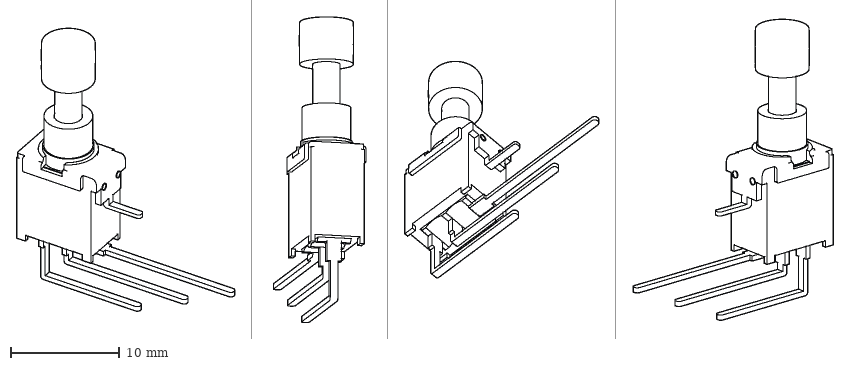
import cadquery as cq
import math


total_height = 26.8
cap_end_radius = 2.5
cap_middle_radius = 2.52
cap_height = 4.0
cap_edge_radius = 0.1
stem_diameter = 2.55

bore_diameter = 2.63
bushing_diameter = 4.53
bushing_top = 18.7
collar_diameter = 4.77
collar_top = 15.48

housing_length = 8.1
housing_depth = 5.1
housing_top = 14.12
housing_bottom = 5.87
foot_length = 0.96
foot_depth = 0.4
foot_height = 0.65

plate_thickness = 0.5
plate_corner_radius = 0.27
tab_length = 6.32
tab_thickness = 0.4
tab_bottom = 13.1
tab_edge_radius = 0.27
tab_corner_radius = 0.15
flap_bottom = 13.18
flap_bend_radius = 0.55
neck_width = 3.48
neck_bottom = 11.39
flap_thickness = 0.6
leg_thickness = 0.4
leg_bottom = 10.25
leg_end = 7.98
leg_tip_radius = 0.27
leg_bend_radius = 0.38
boss_diameter = 0.67
boss_height = 0.08
boss_offset = 1.23

ring_radius = 2.79
ring_top = 15.1
flare_top = 14.95
flare_radius = 3.08
notch_width = 2.28
notch_tab_step = 0.08

pitch = 2.55
terminal_thickness = 0.5
shoulder_width = 1.4
shoulder_bottom = 3.72
shoulder_end = 4.25
lead_width = 0.75
lead_tip_radius = 0.35
lead_bend_radius = 0.32
lowest_lead_end = 7.88

seal_half_length = 3.0
seal_width = 3.15
seal_bottom = 5.5
meniscus_top = 5.81

plate_top = housing_top + plate_thickness
half_length = housing_length / 2
bracket_depth = housing_depth + 2 * tab_thickness
flap_face = half_length + flap_thickness
cap_bottom = total_height - cap_height
concave_share = 1 - math.sqrt(0.5)


def block(x_min, x_max, width, z_min, z_max):
    """Box centred on the XZ plane."""
    return (
        cq.Workplane("XY")
        .box(x_max - x_min, width, z_max - z_min, centered=(False, True, False))
        .translate((x_min, 0, z_min))
    )


def cylinder(diameter, z_min, z_max):
    """Cylinder on the plunger axis."""
    return cq.Workplane("XY").workplane(offset=z_min).circle(diameter / 2).extrude(z_max - z_min)


def make_plunger():
    cap = (
        cq.Workplane("XZ")
        .moveTo(0, cap_bottom)
        .lineTo(cap_end_radius, cap_bottom)
        .threePointArc((cap_middle_radius, cap_bottom + cap_height / 2), (cap_end_radius, total_height))
        .lineTo(0, total_height)
        .close()
        .revolve(360, (0, 0, 0), (0, 1, 0))
        .faces(">Z").edges().fillet(cap_edge_radius)
    )
    return cap.union(cylinder(stem_diameter, housing_top, cap_bottom))


def make_housing():
    foot_bottom = housing_bottom - foot_height
    housing = block(-half_length, half_length, housing_depth, foot_bottom, housing_top)
    gap_length = half_length - foot_length
    gap_width = housing_depth - 2 * foot_depth
    lengthwise_gap = block(-half_length, half_length, gap_width, foot_bottom, housing_bottom)
    crosswise_gap = block(-gap_length, gap_length, housing_depth, foot_bottom, housing_bottom)
    return housing.cut(lengthwise_gap).cut(crosswise_gap)


def make_ring():
    """Ring whose lower side sweeps outward in a concave flare to meet the plate."""
    flare_rise = flare_top - plate_top
    flare_run = flare_radius - ring_radius
    ring = (
        cq.Workplane("XZ")
        .moveTo(0, housing_top)
        .lineTo(ring_radius, housing_top)
        .lineTo(ring_radius, plate_top)
        .lineTo(flare_radius, plate_top)
        .threePointArc(
            (ring_radius + concave_share * flare_run, plate_top + concave_share * flare_rise),
            (ring_radius, flare_top),
        )
        .lineTo(ring_radius, ring_top)
        .lineTo(0, ring_top)
        .close()
        .revolve(360, (0, 0, 0), (0, 1, 0))
    )
    flat_width = bracket_depth - 2 * tab_edge_radius
    return ring.intersect(block(-flare_radius, flare_radius, flat_width, housing_top, ring_top))


def make_tabs():
    """Both side tabs as one block; the housing fills the space between them."""
    half_tab = tab_length / 2
    return (
        block(-half_tab, half_tab, bracket_depth, tab_bottom, plate_top)
        .edges("|X and >Z").fillet(tab_edge_radius)
        .edges("|Y and <Z").fillet(tab_corner_radius)
    )


def make_support_leg():
    """Flap bent down the +X end, necking into a leg that bends outward."""
    flap = (
        block(half_length, flap_face, housing_depth, flap_bottom, plate_top)
        .edges("|Y and >X and >Z").fillet(flap_bend_radius)
    )
    neck = block(half_length, flap_face, neck_width, neck_bottom, flap_bottom)
    upright = block(half_length, flap_face, lead_width, leg_bottom, neck_bottom)
    foot = (
        block(half_length, leg_end, lead_width, leg_bottom, leg_bottom + leg_thickness)
        .edges("|Z and >X").fillet(leg_tip_radius)
    )
    leg = upright.union(foot).edges("|Y and <X and <Z").fillet(leg_bend_radius)
    bosses = (
        cq.Workplane("YZ", origin=(flap_face, 0, flap_bottom))
        .pushPoints([(-boss_offset, 0), (boss_offset, 0)])
        .circle(boss_diameter / 2)
        .extrude(boss_height)
    )
    return flap.union(neck).union(leg).union(bosses)


def make_bracket():
    plate = (
        block(-half_length, half_length, housing_depth, housing_top, plate_top)
        .edges("|Z and <X").fillet(plate_corner_radius)
    )
    bracket = plate.union(make_tabs()).union(make_ring()).union(make_support_leg())
    half_notch = notch_width / 2
    notch = block(-half_notch, half_notch, bracket_depth, housing_top - notch_tab_step, ring_top)
    return bracket.cut(notch)


def make_bushing():
    return cylinder(collar_diameter, housing_top, collar_top).union(
        cylinder(bushing_diameter, collar_top, bushing_top)
    )


def make_terminal(index):
    """Terminal number 0, 1 or 2, from the -X end and from the lowest run upward."""
    x_min = (index - 1) * pitch - terminal_thickness / 2
    x_max = x_min + terminal_thickness
    z_min = index * pitch
    z_max = z_min + terminal_thickness
    lead_end = lowest_lead_end + 2 * pitch * index
    upright = block(x_min, x_max, lead_width, z_min, housing_bottom)
    run = (
        block(x_min, lead_end, lead_width, z_min, z_max)
        .edges("|Z and >X").fillet(lead_tip_radius)
    )
    terminal = upright.union(run)
    if z_min < shoulder_bottom:
        terminal = terminal.union(block(x_min, x_max, shoulder_width, shoulder_bottom, housing_bottom))
    else:
        terminal = terminal.union(block(x_min, x_max, shoulder_width, z_min, housing_bottom))
        terminal = terminal.union(block(x_min, shoulder_end, shoulder_width, z_min, z_max))
    return terminal.edges("|Y and <X and <Z").fillet(lead_bend_radius)


def make_seal():
    """Resin strip with a concave meniscus between neighbouring terminals."""
    outer_x = pitch + terminal_thickness / 2
    inner_x = pitch - terminal_thickness / 2
    middle_x = terminal_thickness / 2
    end_x = outer_x + concave_share * (seal_half_length - outer_x)
    end_z = housing_bottom - concave_share * (housing_bottom - seal_bottom)
    return (
        cq.Workplane("XZ")
        .moveTo(-seal_half_length, housing_bottom)
        .threePointArc((-end_x, end_z), (-outer_x, seal_bottom))
        .lineTo(-inner_x, seal_bottom)
        .threePointArc((-pitch / 2, meniscus_top), (-middle_x, seal_bottom))
        .lineTo(middle_x, seal_bottom)
        .threePointArc((pitch / 2, meniscus_top), (inner_x, seal_bottom))
        .lineTo(outer_x, seal_bottom)
        .threePointArc((end_x, end_z), (seal_half_length, housing_bottom))
        .close()
        .extrude(seal_width / 2, both=True)
    )


def make_switch_body():
    switch_body = make_housing().union(make_bracket()).union(make_bushing()).union(make_seal())
    for index in range(3):
        switch_body = switch_body.union(make_terminal(index))
    return switch_body.cut(cylinder(bore_diameter, housing_top, bushing_top))


plunger = make_plunger()
switch_body = make_switch_body()
result = cq.Compound.makeCompound([plunger.val(), switch_body.val()])